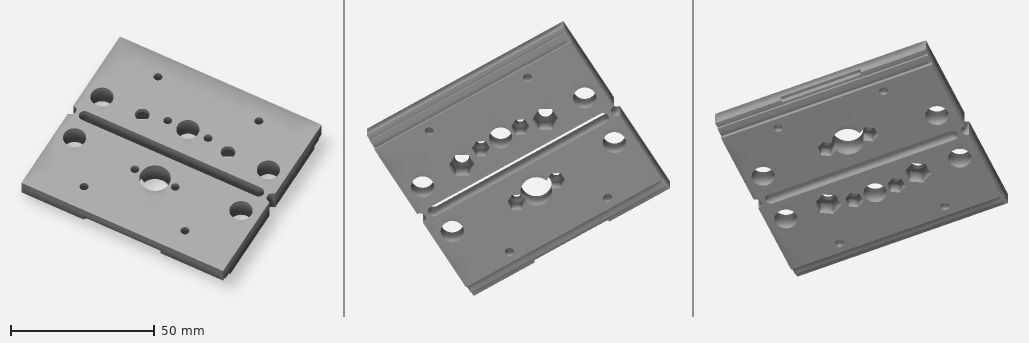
import cadquery as cq
import math

LENGTH = 80.0
WIDTH = 72.0
THICKNESS = 8.0

OUTER_STEP_INSET = 1.9
OUTER_STEP_HEIGHT = 2.4
INNER_STEP_INSET = 5.2
INNER_STEP_HEIGHT = 1.5

SLOT_WIDTH = 4.0
SLOT_LENGTH = 73.0

GUIDE_DIAMETER = 8.1
GUIDE_SPACING_X = 66.0
GUIDE_SPACING_Y = 20.0
CORNER_SCREW_SPACING_X = 40.0
CORNER_SCREW_SPACING_Y = 54.0
BORE_SPACING_Y = 24.0
BACK_BORE_DIAMETER = 8.1
FRONT_BORE_DIAMETER = 11.0

SCREW_DIAMETER = 3.1
SCREW_SPACING_X = 16.0
SCREW_NUT_FLATS = 5.8
SCREW_NUT_DEPTH = 4.5
BOLT_DIAMETER = 5.1
BOLT_SPACING_X = 34.0
BOLT_NUT_FLATS = 8.0
BOLT_NUT_DEPTH = 6.0

RECESS_LENGTH = 30.5
RECESS_DEPTH = 1.0
RECESS_TOP = 4.5


def stepped_plate():
    """Plate extruded along X from its stepped cross-section."""
    half = WIDTH / 2
    outer_y = half - OUTER_STEP_INSET
    inner_y = half - INNER_STEP_INSET
    back_side = [
        (inner_y, 0),
        (inner_y, INNER_STEP_HEIGHT),
        (outer_y, INNER_STEP_HEIGHT),
        (outer_y, OUTER_STEP_HEIGHT),
        (half, OUTER_STEP_HEIGHT),
        (half, THICKNESS),
    ]
    front_side = [(-y, z) for y, z in reversed(back_side)]
    profile = cq.Workplane("YZ").polyline(back_side + front_side).close()
    return profile.extrude(LENGTH / 2, both=True)


def mirrored_points(spacing_x, spacing_y):
    """Four points placed symmetrically about the plate centre."""
    return [(sx * spacing_x / 2, sy * spacing_y / 2) for sx in (-1, 1) for sy in (-1, 1)]


def cylinders(points, diameter):
    """Cutters for holes through the whole thickness."""
    return cq.Workplane("XY").pushPoints(points).circle(diameter / 2).extrude(THICKNESS)


def nut_pockets(points, across_flats, depth):
    """Hexagonal cutters rising from the underside, with two corners on the Y direction."""
    corner_radius = across_flats / math.sqrt(3)
    hexagon_plane = cq.Plane(origin=(0, 0, 0), xDir=(0, 1, 0), normal=(0, 0, 1))
    local_points = [(y, -x) for x, y in points]
    hexagons = cq.Workplane(hexagon_plane).pushPoints(local_points).polygon(6, 2 * corner_radius)
    return hexagons.extrude(depth)


def front_recess():
    """Cutter for the front edge recess, with rounded inner corners."""
    edge_plane = cq.Workplane("XY", origin=(0, -WIDTH / 2, OUTER_STEP_HEIGHT))
    outline = edge_plane.slot2D(RECESS_LENGTH, 2 * RECESS_DEPTH)
    return outline.extrude(RECESS_TOP - OUTER_STEP_HEIGHT)


guides = mirrored_points(GUIDE_SPACING_X, GUIDE_SPACING_Y)
corner_screws = mirrored_points(CORNER_SCREW_SPACING_X, CORNER_SCREW_SPACING_Y)
bore_screws = mirrored_points(SCREW_SPACING_X, BORE_SPACING_Y)
bolts = [(side * BOLT_SPACING_X / 2, GUIDE_SPACING_Y / 2) for side in (-1, 1)]
notches = [(side * LENGTH / 2, 0) for side in (-1, 1)]

result = stepped_plate()

result = result.cut(cq.Workplane("XY").slot2D(SLOT_LENGTH, SLOT_WIDTH).extrude(THICKNESS))
result = result.cut(cylinders(notches, SLOT_WIDTH))

result = result.cut(cylinders(guides, GUIDE_DIAMETER))
result = result.cut(cylinders(corner_screws + bore_screws, SCREW_DIAMETER))
result = result.cut(cylinders(bolts, BOLT_DIAMETER))
result = result.cut(cylinders([(0, BORE_SPACING_Y / 2)], BACK_BORE_DIAMETER))
result = result.cut(cylinders([(0, -BORE_SPACING_Y / 2)], FRONT_BORE_DIAMETER))

result = result.cut(nut_pockets(bore_screws, SCREW_NUT_FLATS, SCREW_NUT_DEPTH))
result = result.cut(nut_pockets(bolts, BOLT_NUT_FLATS, BOLT_NUT_DEPTH))

result = result.cut(front_recess())